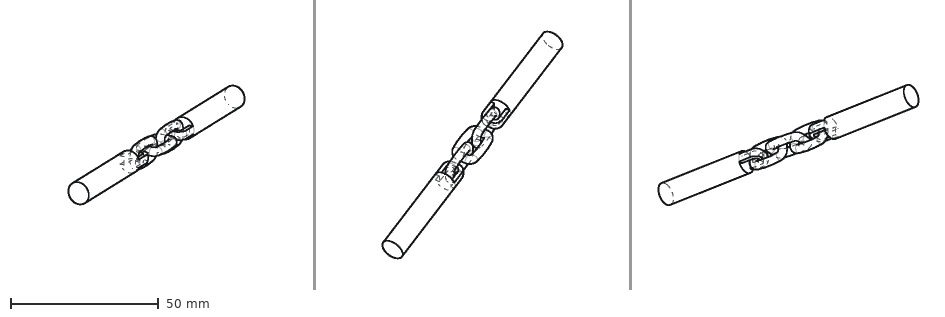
import cadquery as cq
import math

total_length = 107.0
rod_diameter = 8.0
rod_length = 35.0

loop_reach = 8.0
loop_height = 3.0
loop_opening = 4.5
loop_corner_radius = 3.0

wire_diameter = 3.0
link_length = 15.6
middle_link_width = 10.5
upright_link_width = 9.7
link_corner_radius = 1.9
link_corner_inset = 2.2
upright_link_offset = 8.9

rod_radius = rod_diameter / 2
rod_face = total_length / 2 - rod_length
loop_tip = rod_face - loop_reach


def make_rod_end():
    """Rod on the +Y side, with its loop reaching towards the origin."""
    rod = cq.Workplane("XZ", origin=(0, total_length / 2, 0)).circle(rod_radius).extrude(rod_length)

    corner_x = rod_radius - loop_corner_radius
    corner_y = loop_tip + loop_corner_radius
    diagonal = loop_corner_radius * math.sqrt(0.5)
    path = (
        cq.Workplane("XY")
        .moveTo(rod_radius, rod_face)
        .lineTo(rod_radius, corner_y)
        .threePointArc((corner_x + diagonal, corner_y - diagonal), (corner_x, loop_tip))
        .lineTo(0, loop_tip)
    )

    half_height = loop_height / 2
    side_x = math.sqrt(rod_radius**2 - half_height**2)
    half_loop = (
        cq.Workplane("XZ", origin=(0, rod_face, 0))
        .moveTo(loop_opening / 2, -half_height)
        .lineTo(side_x, -half_height)
        .threePointArc((rod_radius, 0), (side_x, half_height))
        .lineTo(loop_opening / 2, half_height)
        .close()
        .sweep(path)
    )
    return rod.union(half_loop).union(half_loop.mirror("YZ"))


def make_link(width):
    """Link in the XY plane: slightly bowed sides, rounded corners and straight ends."""
    half_width = (width - wire_diameter) / 2
    half_length = (link_length - wire_diameter) / 2
    corner_x = half_width - link_corner_inset
    corner_y = half_length - link_corner_radius

    side_radius = (link_corner_inset**2 + corner_y**2 - link_corner_radius**2) / (
        2 * (link_corner_inset - link_corner_radius)
    )
    side_angle = math.asin(corner_y / (side_radius - link_corner_radius))
    middle_angle = (side_angle + math.pi / 2) / 2

    def corner_point(angle):
        return (
            corner_x + link_corner_radius * math.cos(angle),
            corner_y + link_corner_radius * math.sin(angle),
        )

    side_x, side_y = corner_point(side_angle)
    bend_x, bend_y = corner_point(middle_angle)
    path = (
        cq.Workplane("XY")
        .moveTo(0, half_length)
        .lineTo(corner_x, half_length)
        .threePointArc((bend_x, bend_y), (side_x, side_y))
        .threePointArc((half_width, 0), (side_x, -side_y))
        .threePointArc((bend_x, -bend_y), (corner_x, -half_length))
        .lineTo(0, -half_length)
    )
    half_link = cq.Workplane("YZ", origin=(0, half_length, 0)).circle(wire_diameter / 2).sweep(path)
    return half_link.union(half_link.mirror("YZ"))


rod_end = make_rod_end()
rod_ends = [rod_end.rotate((0, 0, 0), (0, 0, 1), angle) for angle in (0, 180)]

middle_link = make_link(middle_link_width)

upright_link = make_link(upright_link_width).rotate((0, 0, 0), (0, 1, 0), 90)
upright_links = [upright_link.translate((0, side * upright_link_offset, 0)) for side in (-1, 1)]

bodies = [*rod_ends, middle_link, *upright_links]
result = cq.Compound.makeCompound([body.solids().val() for body in bodies])